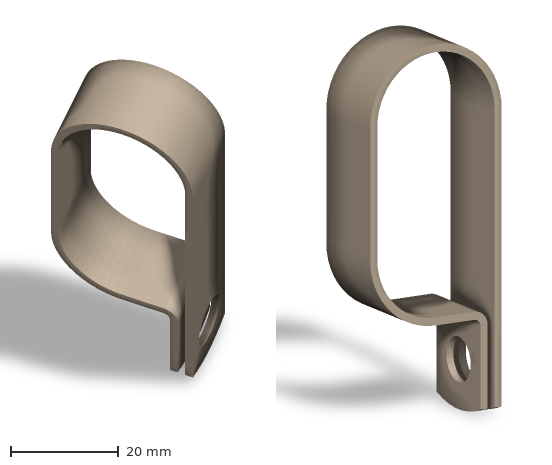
import cadquery as cq

height = 72.9
loop_width = 28.4
strip_width = 15.9
thickness = 1.5
loop_straight = 25.4
leg_gap = 1.5
bend_inner_radius = 1.3
short_leg_hole_diameter = 8.75
long_leg_hole_diameter = 10.0
hole_height = 9.55
tip_rise = 1.7

outer_radius = loop_width / 2
inner_radius = outer_radius - thickness
upper_center_z = height - outer_radius
lower_center_z = upper_center_z - loop_straight
loop_bottom_z = lower_center_z - outer_radius
short_leg_outer_x = outer_radius - thickness - leg_gap
short_leg_inner_x = short_leg_outer_x - thickness
bend_outer_radius = bend_inner_radius + thickness
bend_start_x = short_leg_inner_x - bend_inner_radius
bend_end_z = loop_bottom_z - bend_inner_radius


def make_strip():
    """Bent strip: long leg, loop, inward floor and short leg."""
    return (
        cq.Workplane("XZ")
        .moveTo(outer_radius, 0)
        .lineTo(outer_radius, upper_center_z)
        .threePointArc((0, height), (-outer_radius, upper_center_z))
        .lineTo(-outer_radius, lower_center_z)
        .radiusArc((0, loop_bottom_z), -outer_radius)
        .lineTo(bend_start_x, loop_bottom_z)
        .radiusArc((short_leg_inner_x, bend_end_z), bend_inner_radius)
        .lineTo(short_leg_inner_x, 0)
        .lineTo(short_leg_outer_x, 0)
        .lineTo(short_leg_outer_x, bend_end_z)
        .radiusArc((bend_start_x, loop_bottom_z + thickness), -bend_outer_radius)
        .lineTo(0, loop_bottom_z + thickness)
        .radiusArc((-inner_radius, lower_center_z), inner_radius)
        .lineTo(-inner_radius, upper_center_z)
        .threePointArc((0, height - thickness), (inner_radius, upper_center_z))
        .lineTo(inner_radius, 0)
        .close()
        .extrude(strip_width / 2, both=True)
    )


def make_side_outline():
    """Envelope along X that rounds both leg tips."""
    half_width = strip_width / 2
    return (
        cq.Workplane("YZ")
        .moveTo(-half_width, height)
        .lineTo(-half_width, tip_rise)
        .threePointArc((0, 0), (half_width, tip_rise))
        .lineTo(half_width, height)
        .close()
        .extrude(outer_radius, both=True)
    )


def make_leg_hole(leg_inner_x, diameter):
    """Bolt hole through the single leg that starts at leg_inner_x."""
    return (
        cq.Workplane("YZ", origin=(leg_inner_x, 0, hole_height))
        .circle(diameter / 2)
        .extrude(thickness)
    )


result = (
    make_strip()
    .intersect(make_side_outline())
    .cut(make_leg_hole(short_leg_inner_x, short_leg_hole_diameter))
    .cut(make_leg_hole(inner_radius, long_leg_hole_diameter))
)